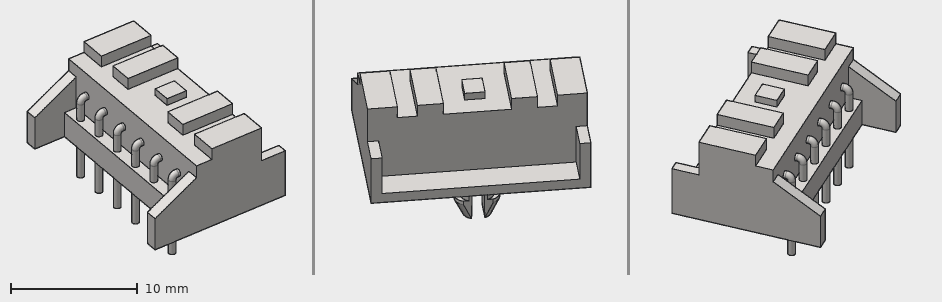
import cadquery as cq


width = 17.5
depth = 12.6
total_height = 11.1
peg_length = 3.52
block_top = total_height - peg_length
deck_height = 6.53
deck_front = 8.6
rear_step_height = 4.38
rear_step_depth = 2.3
wing_thickness = 1.05
wing_rear_height = 5.37
wing_front_height = 3.06
sill_height = 2.36
sill_front = 9.73

cheek_thickness = 0.9
recess_floor = cheek_thickness

block_depth = 4.81
outer_block_width = 2.38
inner_block_width = 2.06
inner_block_x = 3.75
key_width = 1.63
key_depth = 1.85
key_y = 4.9
key_height = 0.65

pin_count = 6
pin_pitch = 2.5
pin_diameter = 0.63
pin_y = 9.19
pin_length_below = 3.18
pin_axis_height = 4.4
pin_bend_radius = 0.42
pin_embedment = 1.75

peg_y = 2.68
peg_width = 1.84
peg_bulge = 0.63
stem_flat_edge = 0.74
barb_flat_edge = 1.19
toe_flat_edge = 0.52
barb_top = 1.75
barb_bottom = 2.08
slot_half_width_top = 0.45
slot_half_width_bottom = 0.52


def box(x_size, y_size, z_size, x, y_rear, z):
    """Box centred on x, running forward from y_rear (measured from the rear face) and up from z."""
    return (
        cq.Workplane("XY")
        .box(x_size, y_size, z_size, centered=(True, True, False))
        .translate((x, -y_rear - y_size / 2, z))
    )


def make_housing():
    outline = [
        (0, 0),
        (0, rear_step_height),
        (-rear_step_depth, rear_step_height),
        (-rear_step_depth, deck_height),
        (-deck_front, deck_height),
        (-deck_front, wing_rear_height),
        (-depth, wing_front_height),
        (-depth, 0),
    ]
    body = cq.Workplane("YZ").polyline(outline).close().extrude(width / 2, both=True)

    inner_width = width - 2 * wing_thickness
    body = body.cut(box(inner_width, depth - deck_front, deck_height, 0, deck_front, 0))
    body = body.union(box(inner_width, sill_front - deck_front, sill_height, 0, deck_front, 0))

    recess_width = width - 2 * cheek_thickness
    return body.cut(
        box(recess_width, rear_step_depth, rear_step_height - recess_floor, 0, 0, recess_floor)
    )


def make_deck_blocks():
    block_height = block_top - deck_height
    outer_block_x = (width - outer_block_width) / 2
    blocks = box(key_width, key_depth, key_height, 0, key_y - key_depth / 2, deck_height)
    for side in (-1, 1):
        for x, block_width in ((outer_block_x, outer_block_width), (inner_block_x, inner_block_width)):
            block = box(block_width, block_depth, block_height, side * x, rear_step_depth, deck_height)
            blocks = blocks.union(block)
    return blocks


def make_pin(x):
    """Vertical tail, tight right-angle bend, and a horizontal end buried in the housing."""
    path = (
        cq.Workplane("YZ", origin=(x, 0, 0))
        .moveTo(-pin_y, -pin_length_below)
        .lineTo(-pin_y, pin_axis_height - pin_bend_radius)
        .radiusArc((-pin_y + pin_bend_radius, pin_axis_height), pin_bend_radius)
        .lineTo(-pin_y + pin_embedment, pin_axis_height)
    )
    return (
        cq.Workplane("XY", origin=(x, -pin_y, -pin_length_below))
        .circle(pin_diameter / 2)
        .sweep(path)
    )


def peg_section(workplane, flat_edge):
    """Half section of the peg: flat sides up to flat_edge, then a bulging outer arc."""
    half = peg_width / 2
    return (
        workplane.moveTo(0, -half)
        .lineTo(flat_edge, -half)
        .threePointArc((flat_edge + peg_bulge, 0), (flat_edge, half))
        .lineTo(0, half)
        .close()
    )


def peg_plane(drop):
    return cq.Workplane("XY", origin=(0, -peg_y, -drop))


def make_peg():
    stem = peg_section(peg_plane(0), stem_flat_edge).extrude(-barb_bottom)
    barb = peg_section(peg_plane(barb_top), barb_flat_edge).extrude(barb_top - barb_bottom)
    toe_start = peg_section(peg_plane(barb_bottom), barb_flat_edge)
    toe_drop = peg_length - barb_bottom
    toe = peg_section(toe_start.workplane(offset=-toe_drop), toe_flat_edge).loft(ruled=True)
    half_peg = stem.union(barb).union(toe)
    peg = half_peg.union(half_peg.mirror("YZ"))

    slot = (
        cq.Workplane("XZ", origin=(0, -peg_y, 0))
        .polyline([
            (-slot_half_width_top, 0),
            (slot_half_width_top, 0),
            (slot_half_width_bottom, -peg_length),
            (-slot_half_width_bottom, -peg_length),
        ])
        .close()
        .extrude(peg_width, both=True)
    )
    return peg.cut(slot)


result = make_housing().union(make_deck_blocks()).union(make_peg())
for index in range(pin_count):
    result = result.union(make_pin((index - (pin_count - 1) / 2) * pin_pitch))